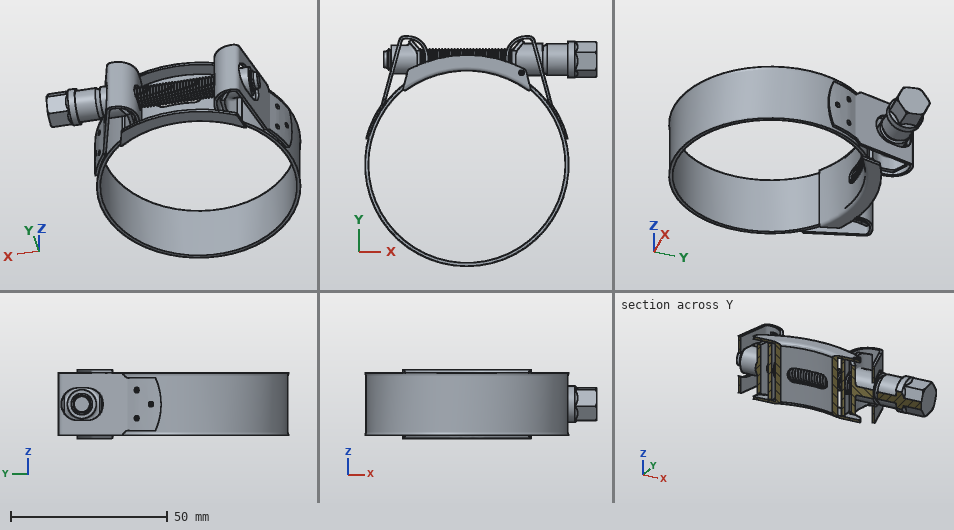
import cadquery as cq
import math

band_width = 20.0
sheet = 0.9
band_outer_radius = 32.35
lip_radius = 32.6
lip_height = 0.9
ring_overlap_angle = 3.0
bridge_height = 22.1
bridge_inner_radius = 33.6
bridge_center_y = -3.65
bridge_wall = 0.7
bridge_fold_radius = 1.2
bridge_top_y = 35.06
bridge_crown_corner = (18.85, 30.25)
bridge_corner_radius = 1.5
bridge_tip_bevel_angle = 0.8
bridge_slot_length = 14.4
bridge_slot_width = 5.0
flange_clearance = 0.05
loop_top_y = 41.08
loop_inner_limb_x = 12.85
loop_foot_radius = 1.0
loop_arch_radius = 6.15
loop_corner_radius = 1.55
loop_corner_x = 19.78
loop_side_tilt = 15.2
loop_window_length = 13.3
loop_window_width = 10.4
loop_window_y = 33.4
lap_width = 16.86
lap_taper_start_y = 20.8
lap_corner_y = 10.0
lap_tip_y = 8.2
weld_spots = [(16.0, 4.5), (16.0, -4.5), (11.45, 0.0)]
screw_y = 33.55
thread_radius = 3.4
thread_root_radius = 2.8
thread_pitch = 1.0
screw_tip_x = -26.6
screw_tip_length = 1.2
screw_tip_radius = 2.5
thread_end_x = 24.3
neck_radius = 4.2
collar_start_x = 25.4
collar_radius = 5.1
collar_chamfer = 0.3
head_flange_x = 32.3
head_flange_radius = 5.83
head_hex_x = 34.5
head_end_x = 41.59
hex_across_flats = 9.95
hex_turn = 6.0
hex_root_length = 0.95
head_chamfer = 0.45
limb_hole_radius = 4.0
trunnion_flat_half = 2.85
trunnion_wing_length = 4.6
trunnion_wing_tilt = 40.5
trunnion_half_width = 9.6
trunnion_tip_half_width = 8.1
trunnion_bend_radius = 4.0
plain_face_x = 14.4
plain_plate = 1.2
plain_barrel_radius = 5.18
plain_barrel_fillet = 0.25
threaded_face_x = 14.75
threaded_plate = 1.05
threaded_barrel_radius = 4.62
threaded_barrel_fillet = 0.7
barrel_end_x = 24.2
dimple_radius = 0.85
dimple_floor_radius = 0.3
dimple_depth = 0.3
bridge_dimple = (17.5, 29.3)
wedge_core_radius = 1.0
selection_margin = 0.1

band_inner_radius = band_outer_radius - sheet
wall_outer_radius = bridge_inner_radius + bridge_wall
lap_mid_radius = band_outer_radius + sheet / 2
lap_outer_radius = band_outer_radius + sheet
bridge_center = (0, bridge_center_y)
meet_cosine = (wall_outer_radius**2 + bridge_center_y**2 - band_inner_radius**2) / (
    -2 * bridge_center_y * wall_outer_radius
)
meet_angle = 90 - math.degrees(math.acos(meet_cosine))


def polar(center, radius, angle):
    """Point at a radius and an angle in degrees about a center in the XY plane."""
    turn = math.radians(angle)
    return (center[0] + radius * math.cos(turn), center[1] + radius * math.sin(turn))


def arc_to(path, center, radius, start, end):
    """Continue a path along an arc about a center, between two angles."""
    middle = polar(center, radius, (start + end) / 2)
    return path.threePointArc(middle, polar(center, radius, end))


def sector(center, inner, outer, start, end, width):
    """Curved strip between two radii and two angles, centered on Z = 0."""
    outline = cq.Workplane("XY").moveTo(*polar(center, inner, start))
    outline = arc_to(outline, center, inner, start, end).lineTo(*polar(center, outer, end))
    outline = arc_to(outline, center, outer, end, start).close()
    return outline.extrude(width / 2, both=True)


def dimple(point, direction):
    """Conical dimple that goes from a surface point into the metal."""
    return cq.Workplane(
        cq.Solid.makeCone(
            dimple_radius, dimple_floor_radius, dimple_depth, cq.Vector(*point), cq.Vector(*direction)
        )
    )


def on_screw_axis(body):
    """Move a body built about the X axis onto the screw axis."""
    return body.translate((0, screw_y, 0))


def band_ring():
    half = band_width / 2
    profile = [
        (band_inner_radius, -half),
        (lip_radius, -half),
        (band_outer_radius, lip_height - half),
        (band_outer_radius, half - lip_height),
        (lip_radius, half),
        (band_inner_radius, half),
    ]
    ring = cq.Workplane("XZ").polyline(profile).close().revolve(360, (0, 0, 0), (0, 1, 0))
    wall_side = sector(
        bridge_center, wedge_core_radius, wall_outer_radius, meet_angle, 180 - meet_angle, bridge_height
    )
    end_angle = meet_angle + ring_overlap_angle
    gap = sector(
        bridge_center, wedge_core_radius, 2 * lip_radius, end_angle, 180 - end_angle, bridge_height
    )
    return ring.cut(wall_side).cut(gap)


def loop_strap():
    """Strap from the ring along the bridge wall, up, over the trunnion and back down to the ring."""
    mid_radius = wall_outer_radius + sheet / 2
    foot_distance = mid_radius + loop_foot_radius
    foot_angle = math.degrees(math.acos((loop_inner_limb_x + loop_foot_radius) / foot_distance))
    foot_center = polar(bridge_center, foot_distance, foot_angle)
    arch_top = loop_top_y - sheet / 2
    arch_center = (loop_inner_limb_x + loop_arch_radius, arch_top - loop_arch_radius)
    corner_center = (loop_corner_x, arch_top - loop_corner_radius)

    side_start = polar(corner_center, loop_corner_radius, loop_side_tilt)
    tilt = math.radians(loop_side_tilt)
    along = side_start[0] * math.sin(tilt) - side_start[1] * math.cos(tilt)
    across = side_start[0] * math.cos(tilt) + side_start[1] * math.sin(tilt)
    side_length = -along - math.sqrt(lap_mid_radius**2 - across**2)
    side_end = (side_start[0] + side_length * math.sin(tilt), side_start[1] - side_length * math.cos(tilt))
    landing_angle = math.degrees(math.atan2(side_end[1], side_end[0]))

    start = polar(bridge_center, mid_radius, meet_angle)
    path = cq.Workplane("XY").moveTo(*start)
    path = arc_to(path, bridge_center, mid_radius, meet_angle, foot_angle)
    path = arc_to(path, foot_center, loop_foot_radius, foot_angle + 180, 180)
    path = path.lineTo(loop_inner_limb_x, arch_center[1])
    path = arc_to(path, arch_center, loop_arch_radius, 180, 90)
    path = path.lineTo(loop_corner_x, arch_top)
    path = arc_to(path, corner_center, loop_corner_radius, 90, loop_side_tilt)
    path = path.lineTo(*side_end)
    heading = math.radians(meet_angle)
    section_plane = cq.Plane(
        origin=(*start, 0),
        xDir=(math.cos(heading), math.sin(heading), 0),
        normal=(-math.sin(heading), math.cos(heading), 0),
    )
    strap = cq.Workplane(section_plane).rect(sheet, band_width).sweep(path)

    lap = sector((0, 0), band_outer_radius, lap_outer_radius, 0, landing_angle, band_width)
    return strap.intersect(lap_outline()).union(lap.intersect(lap_outline()))


def lap_outline():
    """Width of the loop: full at the top, tapered at the landing, with a bowed lap end."""
    half = band_width / 2
    lap_half = lap_width / 2
    taper_end_y = lap_taper_start_y - (half - lap_half)
    return (
        cq.Workplane("YZ")
        .moveTo(loop_top_y + sheet, half)
        .lineTo(lap_taper_start_y, half)
        .lineTo(taper_end_y, lap_half)
        .lineTo(lap_corner_y, lap_half)
        .threePointArc((lap_tip_y, 0), (lap_corner_y, -lap_half))
        .lineTo(taper_end_y, -lap_half)
        .lineTo(lap_taper_start_y, -half)
        .lineTo(loop_top_y + sheet, -half)
        .close()
        .extrude(lap_outer_radius)
    )


def loop_window():
    """Slot of the outer limb around the trunnion barrel, long along Y."""
    limb = cq.Workplane("YZ", origin=(loop_corner_x, loop_window_y, 0))
    return limb.slot2D(loop_window_length, loop_window_width).extrude(loop_arch_radius)


def limb_hole():
    """Clearance of the screw through the inner limb."""
    limb = cq.Workplane("YZ", origin=(loop_inner_limb_x - sheet, 0, 0))
    hole = limb.circle(limb_hole_radius).extrude(3 * sheet)
    return on_screw_axis(hole)


def make_band():
    loop = loop_strap().cut(loop_window()).cut(limb_hole())
    for y, z in weld_spots:
        x = math.sqrt(lap_outer_radius**2 - y**2)
        loop = loop.cut(dimple((x, y, z), (-x, -y, 0)))
    return band_ring().union(loop).union(loop.mirror("YZ"))


def make_bridge():
    half = bridge_height / 2
    inner_end = meet_angle + bridge_tip_bevel_angle
    inner_left = 180 - inner_end
    crown_x, crown_y = bridge_crown_corner
    plate = cq.Workplane("XY").moveTo(*polar(bridge_center, bridge_inner_radius, inner_left))
    plate = arc_to(plate, bridge_center, bridge_inner_radius, inner_left, inner_end)
    plate = (
        plate.lineTo(*polar(bridge_center, wall_outer_radius, meet_angle))
        .lineTo(crown_x, crown_y)
        .threePointArc((0, bridge_top_y), (-crown_x, crown_y))
        .lineTo(*polar(bridge_center, wall_outer_radius, 180 - meet_angle))
        .close()
        .extrude(half, both=True)
    )
    plate = plate.faces("%CYLINDER").faces("<Y").edges("%CIRCLE").fillet(bridge_fold_radius)
    plate = plate.edges("|Z").edges(">Y").fillet(bridge_corner_radius)
    channel_width = band_width + 2 * flange_clearance
    channel = sector(bridge_center, wall_outer_radius, 2 * wall_outer_radius, 0, 180, channel_width)
    slot = cq.Workplane("XZ").slot2D(bridge_slot_length, bridge_slot_width).extrude(-bridge_top_y)
    mark = dimple((*bridge_dimple, half), (0, 0, -1))
    return plate.cut(channel).cut(slot).cut(mark)


def thread_outline():
    """Half outline of the tip and the thread, as V-shaped ridges in the XY plane."""
    first_root = screw_tip_x + screw_tip_length
    ridges = int((thread_end_x - first_root) / thread_pitch)
    outline = [(screw_tip_x, 0), (screw_tip_x, screw_tip_radius)]
    for ridge in range(ridges):
        root_x = first_root + ridge * thread_pitch
        outline.append((root_x, thread_root_radius))
        outline.append((root_x + thread_pitch / 2, thread_radius))
    outline.append((first_root + ridges * thread_pitch, thread_root_radius))
    return outline


def make_screw():
    outline = thread_outline() + [
        (thread_end_x, thread_root_radius),
        (thread_end_x, neck_radius),
        (collar_start_x, collar_radius - collar_chamfer),
        (collar_start_x + collar_chamfer, collar_radius),
        (head_flange_x, collar_radius),
        (head_flange_x, head_flange_radius),
        (head_hex_x, head_flange_radius),
        (head_hex_x + hex_root_length, hex_across_flats / 2),
        (head_hex_x + hex_root_length, 0),
    ]
    shank = cq.Workplane("XY").polyline(outline).close().revolve(360, (0, 0, 0), (1, 0, 0))

    hex_length = head_end_x - head_hex_x
    corner_diameter = hex_across_flats / math.cos(math.radians(30))
    head = cq.Workplane("YZ", origin=(head_hex_x, 0, 0)).polygon(6, corner_diameter).extrude(hex_length)
    envelope = (
        cq.Workplane("YZ", origin=(head_hex_x, 0, 0))
        .circle(corner_diameter / 2)
        .extrude(hex_length)
        .faces(">X")
        .chamfer(head_chamfer)
    )
    head = head.intersect(envelope).rotate((0, 0, 0), (1, 0, 0), hex_turn)
    return on_screw_axis(shank.union(head))


def make_trunnion(face_x, thickness, barrel_radius, barrel_fillet):
    tilt = math.radians(trunnion_wing_tilt)
    bend = (face_x, trunnion_flat_half)
    tip = (
        face_x + trunnion_wing_length * math.sin(tilt),
        trunnion_flat_half + trunnion_wing_length * math.cos(tilt),
    )
    inner_tip = (tip[0] + thickness * math.cos(tilt), tip[1] - thickness * math.sin(tilt))
    inner_bend = (face_x + thickness, trunnion_flat_half - thickness * math.tan(tilt / 2))

    def symmetric(upper):
        """Solid from the upper half of an outline, mirrored about the screw axis."""
        lower = [(x, -y) for x, y in reversed(upper)]
        outline = cq.Workplane("XY").polyline(upper + lower).close()
        return outline.extrude(trunnion_half_width, both=True)

    tapered = [
        (-tip[1], trunnion_tip_half_width),
        (-trunnion_flat_half, trunnion_half_width),
        (trunnion_flat_half, trunnion_half_width),
        (tip[1], trunnion_tip_half_width),
    ]
    width = (
        cq.Workplane("YZ")
        .polyline(tapered + [(-y, -z) for y, z in tapered])
        .close()
        .extrude(barrel_end_x)
    )
    concave_bends = cq.selectors.BoxSelector(
        (inner_bend[0] - selection_margin, -trunnion_flat_half, -trunnion_half_width),
        (inner_bend[0] + selection_margin, trunnion_flat_half, trunnion_half_width),
    )
    plate = symmetric([bend, tip, inner_tip, inner_bend])
    plate = plate.edges("|Z").edges(concave_bends).fillet(trunnion_bend_radius).intersect(width)
    behind_plate = symmetric([bend, tip, (barrel_end_x, tip[1])])
    barrel = cq.Workplane("YZ").circle(barrel_radius).extrude(barrel_end_x).intersect(behind_plate)
    bore = cq.Workplane("YZ").circle(thread_radius).extrude(barrel_end_x)

    base_edges = cq.selectors.BoxSelector(
        (face_x + thickness / 2, -tip[1], -barrel_radius - selection_margin),
        (barrel_end_x - selection_margin, tip[1], barrel_radius + selection_margin),
        boundingbox=True,
    )
    body = plate.union(barrel)
    body = body.edges(base_edges).edges("not |Z").fillet(barrel_fillet)
    return on_screw_axis(body.cut(bore))


band = make_band()
bridge = make_bridge()
screw = make_screw()
plain_trunnion = make_trunnion(plain_face_x, plain_plate, plain_barrel_radius, plain_barrel_fillet)
threaded_trunnion = make_trunnion(
    threaded_face_x, threaded_plate, threaded_barrel_radius, threaded_barrel_fillet
).mirror("YZ")

result = cq.Compound.makeCompound(
    [band.val(), bridge.val(), screw.val(), plain_trunnion.val(), threaded_trunnion.val()]
)